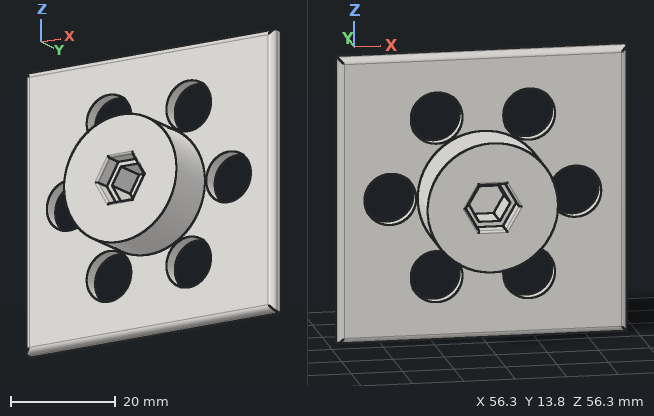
import cadquery as cq
import math

plate_side = 56.3
total_depth = 13.85
plate_thickness = 3.6
plate_edge_radius = 1.25

recess_depth = 0.5
recess_rim = 2.5

boss_diameter = 25.4

hole_count = 6
hole_diameter = 10.0
hole_circle_diameter = 35.95

socket_flats = 9.0
socket_depth = 3.5
inner_socket_flats = 7.0
inner_socket_depth = 10.0
mouth_radius = 0.45


def front_plane(y):
    """Sketch plane at the given Y, facing -Y."""
    return cq.Workplane("XZ", origin=(0, y, 0))


def hexagon(workplane, flats):
    """Hexagon with two corners on the X axis."""
    return workplane.polygon(6, flats / math.cos(math.pi / 6))


def make_plate():
    plate = front_plane(0).rect(plate_side, plate_side).extrude(plate_thickness)
    plate = plate.faces("<Y or >Y").edges().fillet(plate_edge_radius)
    holes = (
        front_plane(0)
        .polarArray(hole_circle_diameter / 2, 0, 360, hole_count)
        .circle(hole_diameter / 2)
        .extrude(plate_thickness)
    )
    recess_side = plate_side - 2 * recess_rim
    recess = front_plane(0).rect(recess_side, recess_side).extrude(recess_depth)
    return plate.cut(holes).cut(recess)


def make_socket():
    """Solid removed from the boss: outer step and deeper inner step."""
    mouth = front_plane(-total_depth)
    outer_step = hexagon(mouth, socket_flats).extrude(-socket_depth)
    inner_step = hexagon(mouth, inner_socket_flats).extrude(-inner_socket_depth)
    return outer_step.union(inner_step)


boss = front_plane(-plate_thickness).circle(boss_diameter / 2).extrude(total_depth - plate_thickness)
result = make_plate().union(boss).cut(make_socket())

result = result.faces("<Y").edges("not %CIRCLE").fillet(mouth_radius)